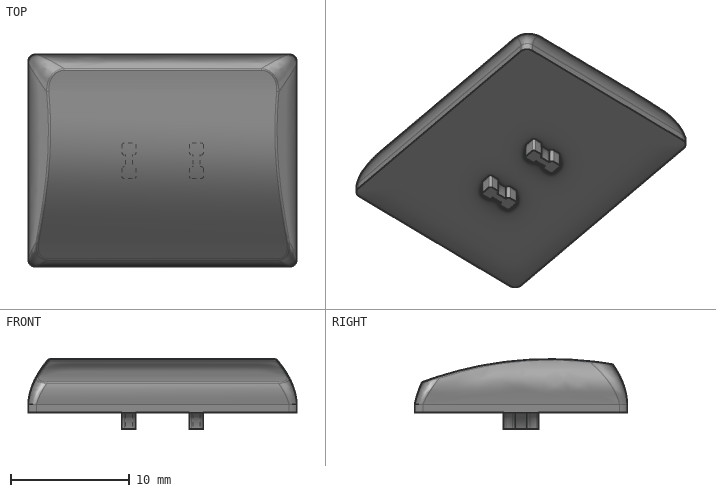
import cadquery as cq

LENGTH_X = 22.75
WIDTH_Y = 18.0
BODY_HEIGHT = 4.55

RIM_HEIGHT = 0.7
RIM_CORNER_RADIUS = 0.68

SIDE_LEAN = 0.05
SIDE_BOW = 0.107
BACK_LEAN = 0.02
BACK_BOW = 0.102
FRONT_LEAN = 0.2
FRONT_BOW = 0.07
CORNER_LEAN = 0.2
CORNER_BOW = 0.03

WALL_RISE = 4.2
WALL_STEPS = 4

CROWN_RADIUS = 31.0
CROWN_PEAK_Y = 2.5
TOP_EDGE_RADIUS = 0.25

LEG_SPACING = 5.7
LEG_SIZE_X = 1.2
LEG_SIZE_Y = 3.0
LEG_LENGTH = 1.4
LEG_CORNER_RADIUS = 0.2
LEG_GROOVE_WIDTH = 0.95
LEG_GROOVE_DEPTH = 0.3
LEG_GROOVE_LIP_RADIUS = 0.25


def bowed_offset(lean, bow, rise):
    """Distance a bowed wall or a corner radius has changed at a rise above the rim."""
    return lean * rise + bow * rise**2


def wall_section(rise):
    """Rounded rectangle outline of the bowed walls at a rise above the rim."""
    side_inset = bowed_offset(SIDE_LEAN, SIDE_BOW, rise)
    back_inset = bowed_offset(BACK_LEAN, BACK_BOW, rise)
    front_inset = bowed_offset(FRONT_LEAN, FRONT_BOW, rise)
    corner_radius = RIM_CORNER_RADIUS + bowed_offset(CORNER_LEAN, CORNER_BOW, rise)
    size_x = LENGTH_X - 2 * side_inset
    size_y = WIDTH_Y - back_inset - front_inset
    center_y = (front_inset - back_inset) / 2
    return (
        cq.Sketch()
        .rect(size_x, size_y)
        .vertices()
        .fillet(corner_radius)
        .moved(cq.Location(cq.Vector(0, center_y, RIM_HEIGHT + rise)))
    )


def make_rim():
    """Straight-sided base slab with rounded corners."""
    return (
        cq.Workplane("XY")
        .rect(LENGTH_X, WIDTH_Y)
        .extrude(RIM_HEIGHT)
        .edges("|Z")
        .fillet(RIM_CORNER_RADIUS)
    )


def make_cap():
    """Bowed walls lofted above the rim, trimmed by the crown and softened along the top edge."""
    rises = [WALL_RISE * step / WALL_STEPS for step in range(WALL_STEPS + 1)]
    sections = [wall_section(rise) for rise in rises]
    walls = cq.Workplane("XY").placeSketch(*sections).loft()
    crown = (
        cq.Workplane("YZ")
        .center(CROWN_PEAK_Y, BODY_HEIGHT - CROWN_RADIUS)
        .circle(CROWN_RADIUS)
        .extrude(LENGTH_X / 2, both=True)
    )
    trimmed = walls.intersect(crown)
    return trimmed.faces(">Z").edges().fillet(TOP_EDGE_RADIUS)


def make_leg(center_x):
    """Clip leg with rounded corners and a round-lipped groove down both broad faces."""
    leg = (
        cq.Workplane("XY")
        .center(center_x, 0)
        .rect(LEG_SIZE_X, LEG_SIZE_Y)
        .extrude(-LEG_LENGTH)
        .edges("|Z")
        .fillet(LEG_CORNER_RADIUS)
    )
    for side in (-1, 1):
        face_x = center_x + side * LEG_SIZE_X / 2
        groove = (
            cq.Workplane("XY")
            .center(face_x, 0)
            .rect(2 * LEG_GROOVE_DEPTH, LEG_GROOVE_WIDTH)
            .extrude(-LEG_LENGTH)
        )
        leg = leg.cut(groove)
        for end in (-1, 1):
            lip = cq.Vector(face_x, end * LEG_GROOVE_WIDTH / 2, -LEG_LENGTH / 2)
            leg = leg.edges(cq.selectors.NearestToPointSelector(lip)).fillet(LEG_GROOVE_LIP_RADIUS)
    return leg


result = make_rim().union(make_cap())
for leg_side in (-1, 1):
    result = result.union(make_leg(leg_side * LEG_SPACING / 2))